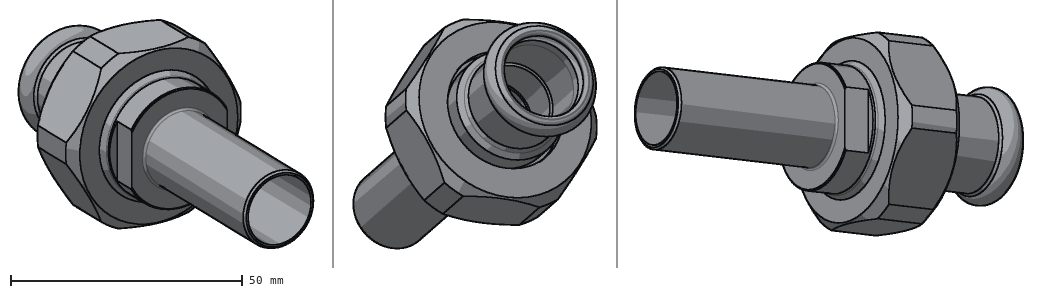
import cadquery as cq
import math

OVERALL_LENGTH = 88.5

NUT_START = 23.0
NUT_END = 39.0
NUT_ACROSS_FLATS = 41.0
NUT_CORNER_DIAMETER = 44.7
NUT_CHAMFER = 2.2
NUT_LIP_LENGTH = 2.65
NUT_LIP_BORE = 26.9
NUT_BORE = 30.3

SOCKET_BORE = 18.3
STOP_BORE = 17.0
MOUTH_DIAMETER = 18.7
MOUTH_FACE_DIAMETER = 20.6
LIP_ROUND_LENGTH = 0.7
BEAD_DIAMETER = 25.8
BEAD_START_DIAMETER = 22.8
BEAD_END_DIAMETER = 22.3
BEAD_START = 0.6
BEAD_PEAK = 3.1
BEAD_END = 5.75
NECK_DIAMETER = 21.15
NECK_START = 6.4
NECK_END = 18.1
GROOVE_START = 1.2
GROOVE_END = 4.1
GROOVE_DIAMETER = 21.1
COLLAR_DIAMETER = 25.0
COLLAR_CONE_START = 19.0
COLLAR_CONE_START_DIAMETER = 22.5
COLLAR_START = 20.2
FLANGE_DIAMETER = 29.5
FLANGE_THICKNESS = 2.65

CONE_LENGTH = 1.3
CONE_END_DIAMETER = 28.5
HEAD_DIAMETER = 28.0
HEAD_START = 40.8
HEAD_END = 47.5
HEAD_CHAMFER = 0.3
HEAD_ACROSS_FLATS = 24.25
FLAT_START = 41.4
BORE_DIAMETER = 16.0
TUBE_DIAMETER = 18.0
TUBE_ROOT_RADIUS = 0.5
TUBE_TIP_DIAMETER = 17.0
TUBE_TIP_LENGTH = 0.5

FLANGE_START = NUT_START + NUT_LIP_LENGTH
FLANGE_END = FLANGE_START + FLANGE_THICKNESS


def revolve_about_x(profile):
    """Close an (x, radius) profile and turn it about the X axis."""
    return profile.close().revolve(360, (0, 0, 0), (1, 0, 0))


def cylinder_x(start, end, diameter):
    """Cylinder along X between two positions."""
    return cq.Workplane("YZ", origin=(start, 0, 0)).circle(diameter / 2).extrude(end - start)


def make_nut():
    """Hexagon nut with rounded corners, chamfered ends and an inward front lip."""
    length = NUT_END - NUT_START
    hexagon = (
        cq.Workplane("YZ", origin=(NUT_START, 0, 0))
        .polygon(6, NUT_ACROSS_FLATS / math.cos(math.pi / 6))
        .extrude(length)
    )
    envelope = cylinder_x(NUT_START, NUT_END, NUT_CORNER_DIAMETER).edges().chamfer(NUT_CHAMFER)
    lip_hole = cylinder_x(NUT_START, FLANGE_START, NUT_LIP_BORE)
    main_bore = cylinder_x(FLANGE_START, NUT_END, NUT_BORE)
    return hexagon.intersect(envelope).cut(lip_hole).cut(main_bore)


def make_socket():
    """Press socket with a seal bead, a collar and a flange held behind the nut lip."""
    outside = (
        cq.Workplane("XY")
        .moveTo(0, 0)
        .lineTo(0, MOUTH_FACE_DIAMETER / 2)
        .tangentArcPoint((BEAD_START, BEAD_START_DIAMETER / 2), relative=False)
        .threePointArc((BEAD_PEAK, BEAD_DIAMETER / 2), (BEAD_END, BEAD_END_DIAMETER / 2))
        .lineTo(NECK_START, NECK_DIAMETER / 2)
        .lineTo(NECK_END, NECK_DIAMETER / 2)
        .lineTo(COLLAR_CONE_START, COLLAR_CONE_START_DIAMETER / 2)
        .lineTo(COLLAR_START, COLLAR_DIAMETER / 2)
        .lineTo(FLANGE_START, COLLAR_DIAMETER / 2)
        .lineTo(FLANGE_START, FLANGE_DIAMETER / 2)
        .lineTo(FLANGE_END, FLANGE_DIAMETER / 2)
        .lineTo(FLANGE_END, 0)
    )
    groove_middle = (GROOVE_START + GROOVE_END) / 2
    mouth_radius = MOUTH_DIAMETER / 2
    face_radius = MOUTH_FACE_DIAMETER / 2
    arc_share = math.sqrt(0.5)
    lip_middle = (
        LIP_ROUND_LENGTH * (1 - arc_share),
        face_radius - (face_radius - mouth_radius) * arc_share,
    )
    inside = (
        cq.Workplane("XY")
        .moveTo(0, 0)
        .lineTo(0, face_radius)
        .threePointArc(lip_middle, (LIP_ROUND_LENGTH, mouth_radius))
        .lineTo(GROOVE_START, mouth_radius)
        .threePointArc((groove_middle, GROOVE_DIAMETER / 2), (GROOVE_END, mouth_radius))
        .lineTo(NECK_START, SOCKET_BORE / 2)
        .lineTo(NECK_END, SOCKET_BORE / 2)
        .lineTo(NECK_END, STOP_BORE / 2)
        .lineTo(FLANGE_END, STOP_BORE / 2)
        .lineTo(FLANGE_END, 0)
    )
    return revolve_about_x(outside).cut(revolve_about_x(inside))


def make_tailpiece():
    """Tailpiece that fills the nut bore and carries a head with two flats and a tube."""
    tube_radius = TUBE_DIAMETER / 2
    head_radius = HEAD_DIAMETER / 2
    outside = (
        cq.Workplane("XY")
        .moveTo(FLANGE_END, 0)
        .lineTo(FLANGE_END, NUT_BORE / 2)
        .lineTo(NUT_END, NUT_BORE / 2)
        .lineTo(NUT_END + CONE_LENGTH, CONE_END_DIAMETER / 2)
        .lineTo(HEAD_START, head_radius)
        .lineTo(HEAD_END - HEAD_CHAMFER, head_radius)
        .lineTo(HEAD_END, head_radius - HEAD_CHAMFER)
        .lineTo(HEAD_END, tube_radius + TUBE_ROOT_RADIUS)
        .radiusArc((HEAD_END + TUBE_ROOT_RADIUS, tube_radius), -TUBE_ROOT_RADIUS)
        .lineTo(OVERALL_LENGTH - TUBE_TIP_LENGTH, tube_radius)
        .lineTo(OVERALL_LENGTH, TUBE_TIP_DIAMETER / 2)
        .lineTo(OVERALL_LENGTH, 0)
    )
    body = revolve_about_x(outside)
    flat_length = HEAD_END - FLAT_START
    flat_depth = (HEAD_DIAMETER - HEAD_ACROSS_FLATS) / 2
    for side in (-1, 1):
        flat_cut = cq.Workplane("XY").box(flat_length, flat_depth, HEAD_DIAMETER).translate(
            (FLAT_START + flat_length / 2, side * (HEAD_ACROSS_FLATS + flat_depth) / 2, 0)
        )
        body = body.cut(flat_cut)
    return body.cut(cylinder_x(FLANGE_END, OVERALL_LENGTH, BORE_DIAMETER))


nut = make_nut()
socket = make_socket()
tailpiece = make_tailpiece()

result = cq.Compound.makeCompound([nut.val(), socket.val(), tailpiece.val()])